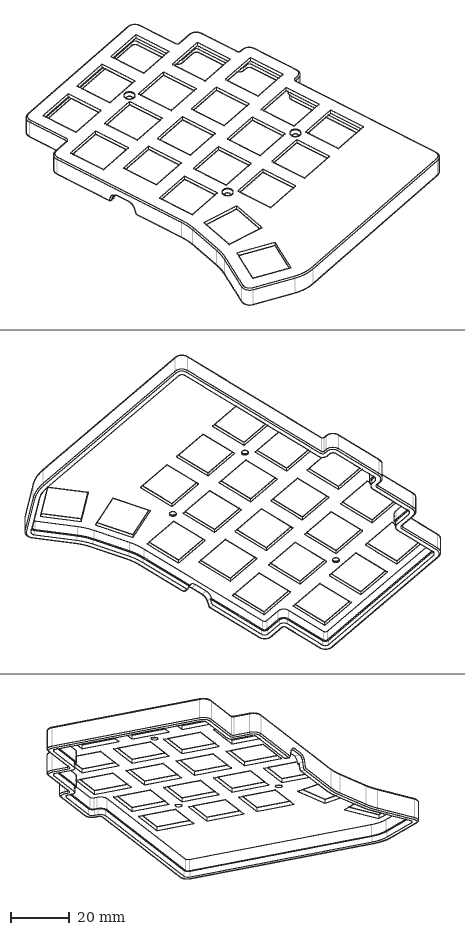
import cadquery as cq
import math

key_opening = 14.0
first_to_last_column = 76.0
key_pitch = first_to_last_column / 4
key_border = 5.0
key_reach = key_opening / 2 + key_border

columns = [
    (3, key_pitch / 2),
    (4, 0),
    (4, key_pitch / 4),
    (4, 0),
    (3, key_pitch),
]
side_column, main_column, tab_column = 0, 1, 2
thumb_keys = [
    (90.3, 9.1, -15),
    (109.6, 1.2, -30),
]

case_width = 125.2
case_height = 7.8
plate_thickness = 1.5
edge_chamfer = 0.5
chamfer_angle = 45
corner_radius = 3.0
inner_corner_radius = 0.6
thumb_bend_radius = 20.0
side_bend_radius = 15.0

cavity_wall = 2.5
recess_wall = 2.0
recess_depth = 2.1
cavity_corner_radius = 1.0
cavity_inner_corner_radius = 2.5

screw_diameter = 2.3
screw_head_diameter = 3.8
screw_head_depth = 0.4
left_screw_shift = 0.5

slot_top_width = 8.3
slot_bottom_width = 10.8
slot_height = 4.1
slot_top_radius = 2.5
slot_flare_radius = 1.0


def column_x(column):
    return key_reach + column * key_pitch


def row_y(row):
    return key_reach + row * key_pitch


def column_bottom(column, reach):
    return row_y(0) + columns[column][1] - reach


def column_top(column, reach):
    count, lift = columns[column]
    return row_y(count - 1) + lift + reach


def key_points():
    return [
        (column_x(column), row_y(row) + lift)
        for column, (count, lift) in enumerate(columns)
        for row in range(count)
    ]


def beside_thumb(thumb, across, along):
    """Point at a local offset from a thumb key's centre, in the key's turned axes."""
    x, y, turn = thumb
    c = math.cos(math.radians(turn))
    s = math.sin(math.radians(turn))
    return x + across * c - along * s, y + across * s + along * c


def crossing(p, p_turn, q, q_turn):
    """Point where two lines meet, each given by a point and a direction in degrees."""
    pc, ps = math.cos(math.radians(p_turn)), math.sin(math.radians(p_turn))
    qc, qs = math.cos(math.radians(q_turn)), math.sin(math.radians(q_turn))
    t = ((q[0] - p[0]) * qs - (q[1] - p[1]) * qc) / (pc * qs - ps * qc)
    return p[0] + t * pc, p[1] + t * ps


def corner_arc(before, corner, after, radius):
    """Start, middle and end of the arc that rounds a corner."""
    to_before = (cq.Vector(*before) - cq.Vector(*corner)).normalized()
    to_after = (cq.Vector(*after) - cq.Vector(*corner)).normalized()
    half_angle = to_before.getAngle(to_after) / 2
    tangent_length = radius / math.tan(half_angle)
    middle_distance = radius / math.sin(half_angle) - radius
    start = cq.Vector(*corner) + to_before * tangent_length
    middle = cq.Vector(*corner) + (to_before + to_after).normalized() * middle_distance
    end = cq.Vector(*corner) + to_after * tangent_length
    return start, middle, end


def rounded_profile(plane, corners):
    """Closed outline through corners given as (x, y, radius); radius 0 leaves a corner sharp."""
    points = [(x, y) for x, y, _ in corners]
    sketch = None
    for i, (x, y, radius) in enumerate(corners):
        start, middle, end = corner_arc(points[i - 1], (x, y), points[(i + 1) % len(points)], radius)
        if sketch is None:
            sketch = cq.Workplane(plane).moveTo(start.x, start.y)
        else:
            sketch = sketch.lineTo(start.x, start.y)
        if radius > 0:
            sketch = sketch.threePointArc((middle.x, middle.y), (end.x, end.y))
    return sketch.close()


def outline(inset, convex_radius, concave_radius):
    """Case outline moved inwards, with its own corner radii."""
    reach = key_reach - inset
    inner_thumb, outer_thumb = thumb_keys
    inner_turn, outer_turn = inner_thumb[2], outer_thumb[2]
    inner_edge = beside_thumb(inner_thumb, 0, -reach)
    outer_edge = beside_thumb(outer_thumb, 0, -reach)
    tip = beside_thumb(outer_thumb, reach, -reach)

    side_left = column_x(side_column) - reach
    side_bottom = column_bottom(side_column, reach)
    side_top = column_top(side_column, reach)
    main_left = column_x(main_column) - reach
    main_right = case_width - inset
    main_bottom = column_bottom(main_column, reach)
    main_top = column_top(main_column, reach)
    tab_left = column_x(tab_column) - reach
    tab_right = column_x(tab_column) + reach
    tab_top = column_top(tab_column, reach)

    front_bend = crossing((main_left, main_bottom), 0, inner_edge, inner_turn)
    thumb_bend = crossing(inner_edge, inner_turn, outer_edge, outer_turn)
    side_bend = crossing(tip, outer_turn + 90, (main_right, main_bottom), 90)

    return rounded_profile("XY", [
        (side_left, side_bottom, convex_radius),
        (main_left, side_bottom, concave_radius),
        (main_left, main_bottom, convex_radius),
        (*front_bend, thumb_bend_radius + inset),
        (*thumb_bend, thumb_bend_radius + inset),
        (*tip, convex_radius),
        (*side_bend, side_bend_radius - inset),
        (main_right, main_top, convex_radius),
        (tab_right, main_top, concave_radius),
        (tab_right, tab_top, convex_radius),
        (tab_left, tab_top, convex_radius),
        (tab_left, main_top, concave_radius),
        (main_left, main_top, convex_radius),
        (main_left, side_top, concave_radius),
        (side_left, side_top, convex_radius),
    ])


def shell():
    body = outline(0, corner_radius, inner_corner_radius).extrude(case_height)
    body = body.faces("<Z or >Z").chamfer(edge_chamfer)
    cavity = outline(cavity_wall, cavity_corner_radius, cavity_inner_corner_radius)
    ledge = cavity_wall - recess_wall
    recess = outline(recess_wall, cavity_corner_radius + ledge, cavity_inner_corner_radius - ledge)
    return body.cut(cavity.extrude(case_height - plate_thickness)).cut(recess.extrude(recess_depth))


def key_openings():
    keys = [(x, y, 0) for x, y in key_points()] + thumb_keys
    cutter = cq.Workplane("XY")
    for x, y, turn in keys:
        opening = cq.Workplane("XY").rect(key_opening, key_opening).extrude(case_height)
        cutter = cutter.add(opening.rotate((0, 0, 0), (0, 0, 1), turn).translate((x, y, 0)))
    return cutter.combine()


def screw_points():
    right_x = (column_x(3) + column_x(4)) / 2
    left_x = (column_x(0) + column_x(1)) / 2 + left_screw_shift
    return [
        (left_x, (row_y(1) + row_y(2)) / 2),
        (right_x, (row_y(0) + row_y(1)) / 2),
        (right_x, (row_y(2) + row_y(3)) / 2),
    ]


def slot_profile():
    """Slot opening in the front wall, flaring out to the bottom face."""
    half_top = slot_top_width / 2
    half_bottom = slot_bottom_width / 2
    half_base = slot_bottom_width
    return rounded_profile("XZ", [
        (-half_base, 0, 0),
        (-half_bottom, 0, slot_flare_radius),
        (-half_top, slot_height, slot_top_radius),
        (half_top, slot_height, slot_top_radius),
        (half_bottom, 0, slot_flare_radius),
        (half_base, 0, 0),
        (half_base, -slot_height, 0),
        (-half_base, -slot_height, 0),
    ])


def cable_slot():
    passage = slot_profile().extrude(-cavity_wall)
    mouth = slot_profile().offset2D(edge_chamfer).extrude(-edge_chamfer, taper=chamfer_angle)
    return passage.union(mouth).translate((column_x(tab_column), 0, 0))


def screw_holes():
    """Cutters for the screw holes: head recess, cone and clearance hole."""
    head_radius = screw_head_diameter / 2
    hole_radius = screw_diameter / 2
    cone_top = case_height - screw_head_depth
    cone_bottom = case_height - plate_thickness
    hole = (
        cq.Workplane("XZ")
        .polyline([
            (0, 0),
            (hole_radius, 0),
            (hole_radius, cone_bottom),
            (head_radius, cone_top),
            (head_radius, case_height),
            (0, case_height),
        ])
        .close()
        .revolve(360, (0, 0, 0), (0, 1, 0))
    )
    return cq.Workplane("XY").pushPoints(screw_points()).eachpoint(
        lambda location: hole.val().moved(location)
    )


result = shell().cut(key_openings()).cut(cable_slot()).cut(screw_holes())